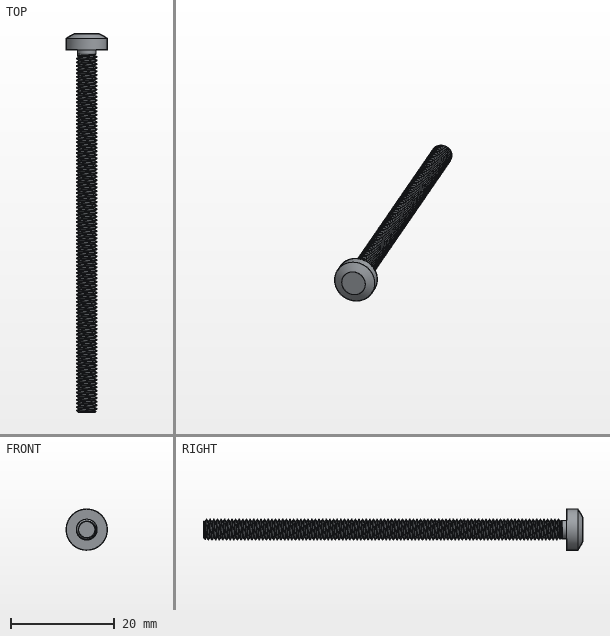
import cadquery as cq
import math

total_length = 73.1
head_height = 3.15
head_radius = 8.0 / 2
shank_length = total_length - head_height

rim_height = 2.2
top_flat_radius = 2.35
dome_bulge = 0.04

thread_radius = 4.0 / 2
root_radius = 3.15 / 2
neck_radius = 3.6 / 2
neck_length = 1.3
groove_start = 0.8
turns_along_shank = 100
pitch = shank_length / turns_along_shank
flank_angle = math.radians(30)
root_flat = pitch / 4
run_in_turns = 1.7
run_out_turns = 1.3
tip_chamfer = thread_radius - root_radius

tip_y = -total_length / 2
bearing_y = tip_y + shank_length
groove_y = bearing_y - groove_start
neck_end_y = bearing_y - neck_length
rim_y = bearing_y + rim_height
top_y = total_length / 2


def revolve_about_y(half_profile):
    """Close a half profile along the Y axis and revolve it into a solid."""
    return half_profile.close().revolve(360, (0, 0, 0), (0, 1, 0))


def make_head():
    """Domed head with the plain part of the neck below it."""
    dome_middle = (
        (head_radius + top_flat_radius) / 2 + dome_bulge,
        (rim_y + top_y) / 2 + dome_bulge,
    )
    return revolve_about_y(
        cq.Workplane("XY")
        .moveTo(0, groove_y)
        .lineTo(neck_radius, groove_y)
        .lineTo(neck_radius, bearing_y)
        .lineTo(head_radius, bearing_y)
        .lineTo(head_radius, rim_y)
        .threePointArc(dome_middle, (top_flat_radius, top_y))
        .lineTo(0, top_y)
    )


def make_shank_envelope():
    """Outer limits of the grooved length: chamfered tip, thread crests and reduced neck."""
    return revolve_about_y(
        cq.Workplane("XY")
        .moveTo(0, tip_y)
        .lineTo(root_radius, tip_y)
        .lineTo(thread_radius, tip_y + tip_chamfer)
        .lineTo(thread_radius, neck_end_y)
        .lineTo(neck_radius, neck_end_y)
        .lineTo(neck_radius, groove_y)
        .lineTo(0, groove_y)
    )


def make_threaded_rod():
    """Threaded rod along Y, overrunning both ends of the grooved length by more than a turn."""
    half_root = root_flat / 2
    half_groove = half_root + (thread_radius - root_radius) * math.tan(flank_angle)
    corners = [
        (root_radius, 0),
        (root_radius, half_root),
        (thread_radius, half_groove),
        (thread_radius, pitch - half_groove),
        (root_radius, pitch - half_root),
        (root_radius, pitch),
    ]
    helices = [
        cq.Wire.makeHelix(pitch, pitch, radius, center=cq.Vector(0, 0, height)).Edges()[0]
        for radius, height in corners
    ]
    one_turn = [cq.Face.makeRuledSurface(low, high) for low, high in zip(helices, helices[1:])]

    axis = cq.Edge.makeLine(cq.Vector(0, 0, 0), cq.Vector(0, 0, pitch))
    ramp = cq.Face.makeRuledSurface(axis, helices[0])
    step_outline = cq.Workplane("XZ").polyline([(0, 0), *corners, (0, pitch)]).close()
    step = cq.Face.makeFromWires(step_outline.val())

    turns = math.ceil((groove_y - tip_y) / pitch + run_in_turns + run_out_turns)
    far_end = cq.Vector(0, 0, turns * pitch)
    faces = [ramp, step, ramp.translate(far_end), step.translate(far_end)]
    for turn in range(turns):
        offset = cq.Vector(0, 0, turn * pitch)
        faces += [face.translate(offset) for face in one_turn]

    rod = cq.Solid.makeSolid(cq.Shell.makeShell(faces))
    return (
        cq.Workplane(obj=rod)
        .rotate((0, 0, 0), (1, 0, 0), 90)
        .translate((0, groove_y + run_in_turns * pitch, 0))
    )


shank = make_shank_envelope().intersect(make_threaded_rod(), clean=False)
result = make_head().union(shank, clean=False).solids()